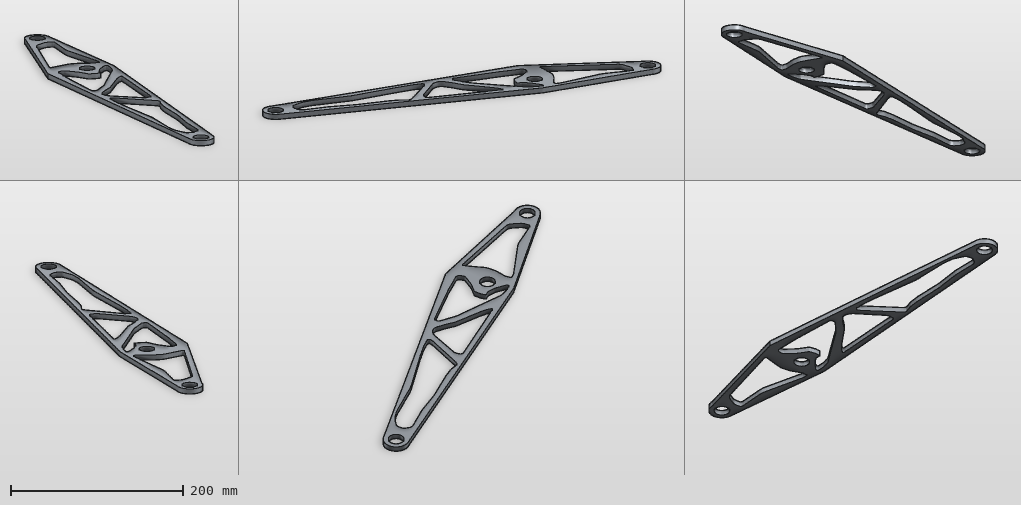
import cadquery as cq
import math

THICKNESS = 6.5
HOLE_DIAMETER = 18.0
END_RADIUS = 15.0
LENGTH = 490.0
LEFT_EYE_X = -139.5
RIGHT_EYE_X = LEFT_EYE_X + LENGTH - 2 * END_RADIUS
PEAK_X = 2.0
TOP_PEAK = (PEAK_X, 33.0)
BOTTOM_PEAK = (PEAK_X, -51.0)

TAIL_POCKET = [
    (-118.5, 11.5, 3.0), (-80.0, 9.5, 29.5), (-23.5, 23.5, 5.0), (-16.5, 23.5, 1.0),
    (-17.0, 15.5, 7.5), (-23.0, 2.5, 14.5), (-25.5, -10.0, 19.5), (-19.5, -38.5, 1.5),
    (-112.0, -14.0, 10.0), (-119.5, 1.0, 10.0),
]
PIVOT_POCKET = [
    (-2.0, 26.5, 1.5), (9.5, 26.0, 10.0), (19.0, 23.5, 7.5), (59.0, -2.5, 49.0),
    (73.5, -12.0, 39.0), (90.0, -28.5, 3.0), (89.0, -34.5, 2.5), (29.5, -37.5, 39.0),
    (-1.0, -37.5, 5.0), (-1.0, -28.0, 3.5), (11.0, -16.0, 10.0), (22.5, -8.5, 2.0),
    (24.5, 0.0, 5.0), (24.5, 7.0, 1.0), (17.5, 7.0, 2.5), (8.5, 12.5, 14.5),
    (-1.0, 22.5, 2.0),
]
MIDDLE_POCKET = [
    (46.0, 23.0, 1.0), (59.0, 22.5, 14.5), (141.0, 18.5, 3.5), (141.0, 9.5, 7.5),
    (116.5, -25.0, 10.0), (106.5, -31.5, 9.0), (94.0, -19.5, 14.5),
    (85.2, -9.5, 19.5), (56.0, 12.2, 39.0), (50.0, 17.5, 10.0),
]
NOSE_POCKET = [
    (160.5, 19.5, 4.0), (172.5, 15.5, 19.5), (185.5, 14.0, 29.5), (225.0, 13.5, 49.0),
    (258.0, 10.0, 49.0), (292.0, 10.0, 7.0), (298.0, 1.0, 7.5), (296.0, -8.0, 4.5),
    (281.5, -15.0, 19.5), (269.5, -17.0, 19.5), (219.5, -17.0, 49.0), (160.5, -26.5, 49.0),
    (140.0, -29.0, 29.5), (125.0, -29.0, 2.5), (129.0, -21.5, 7.5), (157.0, 15.0, 19.5),
]


def blank():
    """Straight edges run from each peak to the points square above and below the eyes."""
    upper_left = (LEFT_EYE_X, END_RADIUS)
    lower_left = (LEFT_EYE_X, -END_RADIUS)
    upper_right = (RIGHT_EYE_X, END_RADIUS)
    lower_right = (RIGHT_EYE_X, -END_RADIUS)
    return (
        cq.Workplane("XY")
        .moveTo(*upper_left)
        .lineTo(*TOP_PEAK)
        .lineTo(*upper_right)
        .threePointArc((RIGHT_EYE_X + END_RADIUS, 0), lower_right)
        .lineTo(*BOTTOM_PEAK)
        .lineTo(*lower_left)
        .threePointArc((LEFT_EYE_X - END_RADIUS, 0), upper_left)
        .close()
        .extrude(THICKNESS)
    )


def rounded_corner(before, corner, after):
    """Start, middle and end of the arc that rounds one corner of a loop."""
    point = cq.Vector(corner[0], corner[1])
    radius = corner[2]
    back = (cq.Vector(before[0], before[1]) - point).normalized()
    ahead = (cq.Vector(after[0], after[1]) - point).normalized()
    half_angle = back.getAngle(ahead) / 2
    setback = radius / math.tan(half_angle)
    bisector = (back + ahead).normalized()
    middle = point + bisector * (radius / math.sin(half_angle) - radius)
    return point + back * setback, middle, point + ahead * setback


def pocket(corners):
    following = corners[1:] + corners[:1]
    preceding = corners[-1:] + corners[:-1]
    arcs = [rounded_corner(*trio) for trio in zip(preceding, corners, following)]
    outline = cq.Workplane("XY").moveTo(*arcs[0][0].toTuple()[:2])
    for start, middle, end in arcs:
        if start is not arcs[0][0]:
            outline = outline.lineTo(start.x, start.y)
        outline = outline.threePointArc((middle.x, middle.y), (end.x, end.y))
    return outline.close().extrude(THICKNESS)


def pin_holes():
    centres = [(LEFT_EYE_X, 0), (0, 0), (RIGHT_EYE_X, 0)]
    return cq.Workplane("XY").pushPoints(centres).circle(HOLE_DIAMETER / 2).extrude(THICKNESS)


result = blank().cut(pin_holes())
for pocket_corners in (TAIL_POCKET, PIVOT_POCKET, MIDDLE_POCKET, NOSE_POCKET):
    result = result.cut(pocket(pocket_corners))